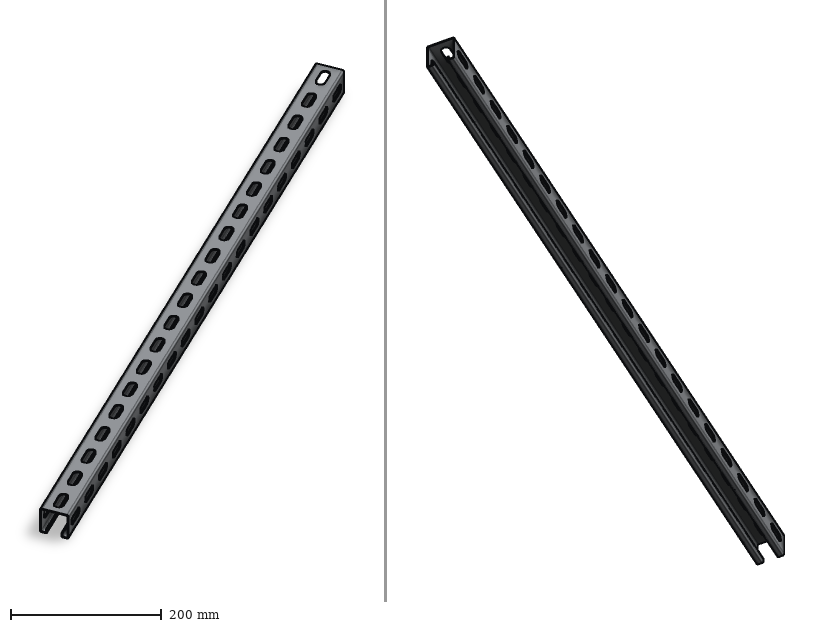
import cadquery as cq

width = 41.0
height = 41.0
length = 1000.0
thickness = 2.0
bend_radius = 3.0
mouth_width = 20.0
lip_height = 7.0
slot_length = 30.0
slot_width = 13.0
slot_pitch = 50.0

inner_radius = bend_radius - thickness
slot_count = round(length / slot_pitch)


def rounded_bar(bar_width, bar_height, radius):
    """Full-length bar centred on the origin, with its four long edges rounded."""
    return cq.Workplane("XY").box(bar_width, length, bar_height).edges("|Y").fillet(radius)


def box_tube():
    """Closed tube that gives the back, the side walls and the underside."""
    outer = rounded_bar(width, height, bend_radius)
    inner = rounded_bar(width - 2 * thickness, height - 2 * thickness, inner_radius)
    return outer.cut(inner)


def mouth():
    """Block that opens the underside, as wide as the mouth plus the two lip bends."""
    block_width = mouth_width + 2 * bend_radius
    return cq.Workplane("XY").box(block_width, length, height).translate((0, 0, -height / 2))


def lip(side):
    """Lip on one side (-1 or +1): a rounded bend up from the underside, then a short straight."""
    tip_x = side * mouth_width / 2
    bend_x = tip_x + side * bend_radius
    bottom_z = -height / 2
    bend_z = bottom_z + bend_radius
    tip_z = bottom_z + lip_height
    profile = (
        cq.Workplane("XZ")
        .moveTo(bend_x, bottom_z)
        .radiusArc((tip_x, bend_z), side * bend_radius)
        .lineTo(tip_x, tip_z)
        .lineTo(tip_x + side * thickness, tip_z)
        .lineTo(tip_x + side * thickness, bend_z)
        .radiusArc((bend_x, bottom_z + thickness), -side * inner_radius)
        .close()
    )
    return profile.extrude(length / 2, both=True)


def back_slots():
    """Row of slots through the back."""
    return (
        cq.Workplane("XY")
        .rarray(1, slot_pitch, 1, slot_count)
        .slot2D(slot_length, slot_width, 90)
        .extrude(height)
    )


def side_slots():
    """Row of slots through both side walls, centred on the height."""
    return (
        cq.Workplane("YZ")
        .rarray(slot_pitch, 1, slot_count, 1)
        .slot2D(slot_length, slot_width)
        .extrude(width, both=True)
    )


channel = box_tube().cut(mouth())
for side in (-1, 1):
    channel = channel.union(lip(side))

result = channel.cut(back_slots()).cut(side_slots())